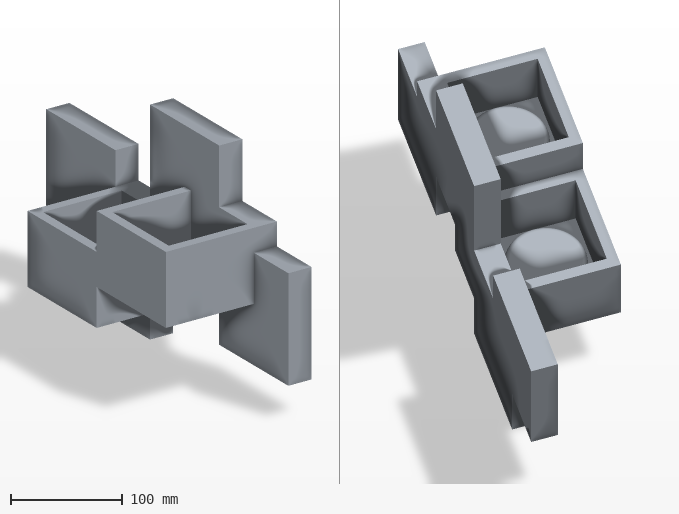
import cadquery as cq

total_width = 385
panel_side = total_width / 3.5
half_step = panel_side / 2
panel_thickness = 25.0
left_panel_bottom = half_step
high_panel_bottom = 119.7
right_panel_bottom = 35.0
panel_places = [
    (0, left_panel_bottom),
    (half_step, 0),
    (3 * half_step, high_panel_bottom),
    (5 * half_step, right_panel_bottom),
]

box_height = 74.3
box_depth = 120.0
wall = 10.0
pocket_depth = 59.3
left_box_bottom = left_panel_bottom
right_box_bottom = 95.0
box_places = [
    (2 * half_step, left_box_bottom),
    (4 * half_step, right_box_bottom),
]

disc_diameter = 75.0
disc_height = 15.0
disc_edge_radius = 5.0

pocket_width = panel_side - 2 * wall
pocket_length = box_depth - panel_thickness - wall
pocket_centre_y = -panel_thickness - pocket_length / 2


def block(left, bottom, width, depth, height):
    """Block with its back face on Y = 0, reaching forward to -Y."""
    corner = (left, -depth, bottom)
    return cq.Workplane("XY").box(width, depth, height, centered=False).translate(corner)


def make_panel(left, bottom):
    return block(left, bottom, panel_side, panel_thickness, panel_side)


def make_pocket(left, bottom):
    """Volume removed from the top of a box, from its floor to its rim."""
    return (
        cq.Workplane("XY")
        .box(pocket_width, pocket_length, pocket_depth, centered=(True, True, False))
        .translate((left + panel_side / 2, pocket_centre_y, bottom + box_height - pocket_depth))
    )


def make_shelf():
    """Four panels and two boxes joined as one solid, with both pockets cut.

    The panels are merged into plain faces; the boxes keep their own faces.
    """
    shelf = make_panel(*panel_places[0])
    for left, bottom in panel_places[1:]:
        shelf = shelf.union(make_panel(left, bottom)).clean()
    for left, bottom in box_places:
        shelf = shelf.union(block(left, bottom, panel_side, box_depth, box_height), clean=False)
    for left, bottom in box_places:
        shelf = shelf.cut(make_pocket(left, bottom), clean=False)
    return shelf


def make_disc(left, bottom):
    """Disc with a rounded upper edge, centred on the pocket floor."""
    floor = bottom + box_height - pocket_depth
    return (
        cq.Workplane("XY")
        .circle(disc_diameter / 2)
        .extrude(disc_height)
        .faces(">Z")
        .edges()
        .fillet(disc_edge_radius)
        .translate((left + panel_side / 2, pocket_centre_y, floor))
    )


shelf = make_shelf()
discs = [make_disc(left, bottom) for left, bottom in box_places]

result = cq.Compound.makeCompound([shelf.val(), *[disc.val() for disc in discs]])